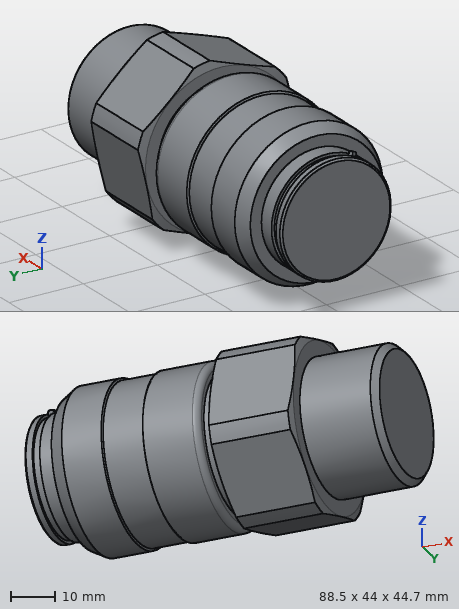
import cadquery as cq
import math

LENGTH = 88.55

NOSE_DIA = 30.0
NOSE_FACE_DIA = 29.0
NOSE_CHAMFER = 0.4
GROOVE_DIA = 28.5
GROOVE_START = 2.0
GROOVE_WIDTH = 1.9
GROOVE_END = GROOVE_START + GROOVE_WIDTH

SLEEVE_DIA = 40.0
SLEEVE_START = 8.15
SLEEVE_END = 45.7
SLEEVE_CONE_LENGTH = 3.45
SLEEVE_CONE_ANGLE = 30.0
SLEEVE_FILLET = 1.6
BAND_DIA = 39.0
BAND_START = 21.4
BAND_END = 31.8
BAND_SLOPE = 0.3

NECK_DIA = 34.0

HEX_FLATS = 41.0
HEX_CORNER_DIA = 45.0
HEX_FACE_DIA = 40.8
HEX_CHAMFER = 0.58
HEX_START = 48.6
HEX_END = 69.4
HEX_CORNER_ANGLE = 17.7

THREAD_DIA = 33.2
THREAD_CHAMFER = 1.6

PIN_DIA = 1.6
PIN_LENGTH = 1.1
PIN_ANGLE = 24.3


def revolve_profile(points):
    """Revolve (x, radius) points, closed along the X axis, into a solid."""
    return cq.Workplane("XY").polyline(points).close().revolve(360, (0, 0, 0), (1, 0, 0))


def cylinder(dia, start, end):
    return cq.Workplane("YZ", origin=(start, 0, 0)).circle(dia / 2).extrude(end - start)


def make_nose():
    nose_r = NOSE_DIA / 2
    groove_r = GROOVE_DIA / 2
    return revolve_profile([
        (0, 0),
        (0, NOSE_FACE_DIA / 2),
        (NOSE_CHAMFER, nose_r),
        (GROOVE_START, nose_r),
        (GROOVE_START, groove_r),
        (GROOVE_END, groove_r),
        (GROOVE_END, nose_r),
        (SLEEVE_START, nose_r),
        (SLEEVE_START, 0),
    ])


def make_sleeve():
    sleeve_r = SLEEVE_DIA / 2
    band_r = BAND_DIA / 2
    cone_drop = SLEEVE_CONE_LENGTH * math.tan(math.radians(SLEEVE_CONE_ANGLE))
    sleeve = revolve_profile([
        (SLEEVE_START, 0),
        (SLEEVE_START, sleeve_r - cone_drop),
        (SLEEVE_START + SLEEVE_CONE_LENGTH, sleeve_r),
        (BAND_START, sleeve_r),
        (BAND_START + BAND_SLOPE, band_r),
        (BAND_END - BAND_SLOPE, band_r),
        (BAND_END, sleeve_r),
        (SLEEVE_END, sleeve_r),
        (SLEEVE_END, 0),
    ])
    return sleeve.faces(">X").edges().fillet(SLEEVE_FILLET)


def make_hexagon():
    """Hexagonal prism with its corners turned down and both ends chamfered."""
    sharp_corner_dia = HEX_FLATS / math.cos(math.radians(30))
    prism = (
        cq.Workplane("YZ", origin=(HEX_START, 0, 0))
        .polygon(6, sharp_corner_dia)
        .extrude(HEX_END - HEX_START)
        .rotate((0, 0, 0), (1, 0, 0), HEX_CORNER_ANGLE)
    )
    corner_r = HEX_CORNER_DIA / 2
    face_r = HEX_FACE_DIA / 2
    turned_blank = revolve_profile([
        (HEX_START, 0),
        (HEX_START, face_r),
        (HEX_START + HEX_CHAMFER, corner_r),
        (HEX_END - HEX_CHAMFER, corner_r),
        (HEX_END, face_r),
        (HEX_END, 0),
    ])
    return prism.intersect(turned_blank)


def make_threaded_end():
    return cylinder(THREAD_DIA, HEX_END, LENGTH).faces(">X").chamfer(THREAD_CHAMFER)


def make_coupling():
    """Solid body running from nose to threaded end."""
    return (
        make_nose()
        .union(make_sleeve())
        .union(cylinder(NECK_DIA, SLEEVE_END, HEX_START))
        .union(make_hexagon())
        .union(make_threaded_end())
    )


def make_pin():
    """Short pin resting on the groove floor, its axis tangent to the floor."""
    center_x = GROOVE_START + GROOVE_WIDTH / 2
    center_z = GROOVE_DIA / 2 + PIN_DIA / 2
    return (
        cq.Workplane("XZ", origin=(center_x, 0, center_z))
        .circle(PIN_DIA / 2)
        .extrude(PIN_LENGTH / 2, both=True)
        .rotate((0, 0, 0), (1, 0, 0), PIN_ANGLE)
    )


coupling = make_coupling()
pin = make_pin()
result = cq.Compound.makeCompound([coupling.val(), pin.val()])